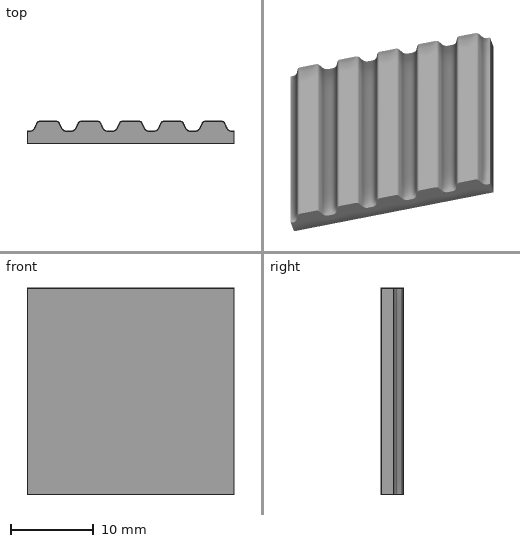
import cadquery as cq
import math

pitch = 5.0
tooth_count = 5
belt_width = 25.0
total_thickness = 2.7
tooth_height = 1.2
tip_width = 2.5
flank_angle = 25.0
tip_radius = 0.4
root_radius = 0.65

belt_length = pitch * tooth_count
backing_thickness = total_thickness - tooth_height
root_width = tip_width + 2 * tooth_height * math.tan(math.radians(flank_angle))


def tooth_centers():
    """X position of each tooth, spread evenly about the middle of the belt."""
    return [(i - (tooth_count - 1) / 2) * pitch for i in range(tooth_count)]


def sharp_profile():
    """Belt outline with sharp tooth corners; flat back on Y = 0, teeth toward +Y."""
    points = [(-belt_length / 2, 0), (-belt_length / 2, backing_thickness)]
    for center in tooth_centers():
        points += [
            (center - root_width / 2, backing_thickness),
            (center - tip_width / 2, total_thickness),
            (center + tip_width / 2, total_thickness),
            (center + root_width / 2, backing_thickness),
        ]
    points += [(belt_length / 2, backing_thickness), (belt_length / 2, 0)]
    return points


def round_corners(body, half_spacing, height, radius):
    """Round the two edges along Z of every tooth at the given offset and height."""
    corners = []
    for center in tooth_centers():
        corners += [(center - half_spacing, height), (center + half_spacing, height)]
    for x, y in corners:
        nearest = cq.selectors.NearestToPointSelector((x, y, 0))
        body = body.edges("|Z").edges(nearest).fillet(radius)
    return body


belt = cq.Workplane("XY").polyline(sharp_profile()).close().extrude(belt_width / 2, both=True)
belt = round_corners(belt, tip_width / 2, total_thickness, tip_radius)
belt = round_corners(belt, root_width / 2, backing_thickness, root_radius)

result = belt